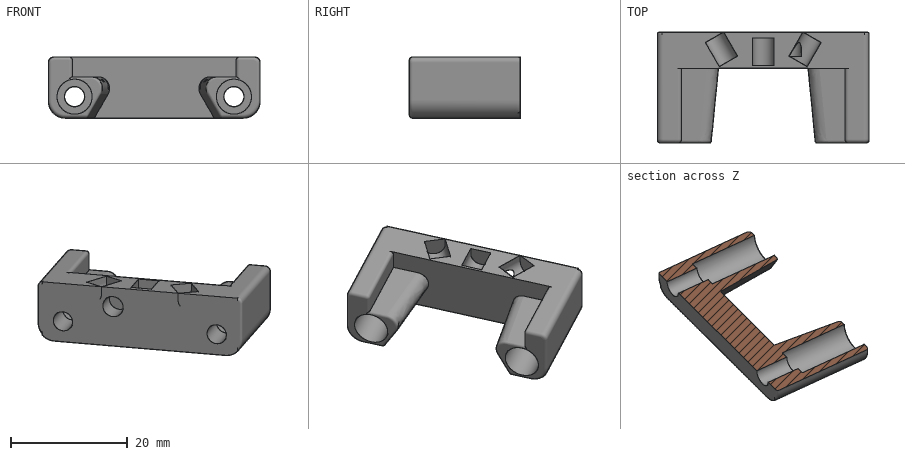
import cadquery as cq
import math

WIDTH = 36.26
LENGTH = 19.0
HEIGHT = 10.5
HALF_WIDTH = WIDTH / 2

BAR_THICKNESS = 6.2
LEG_LENGTH = LENGTH - BAR_THICKNESS
WALL_THICKNESS = 4.13
TOP_CORNER_RADIUS = 1.0
BOTTOM_CORNER_RADIUS = 3.0
EDGE_RADIUS = 0.6
BACK_EDGE_RADIUS = 0.4
BACK_EDGE_STRIP = 0.83

LUG_HEIGHT = 7.1
LUG_TOE = 7.85
LUG_FLANK_ANGLE = 60.0
LUG_TIP_RADIUS = 2.0
LUG_TAPER = 1.25
LUG_EDGE_RADIUS = 0.4

BORE_INSET = 4.5
BORE_HEIGHT = 3.7
BORE_DIAMETER = 3.4
COUNTERBORE_DIAMETER = 6.0
COUNTERBORE_DEPTH = LEG_LENGTH

SLOT_WIDTH = 3.6
SLOT_LENGTH = 4.75
SLOT_AXIS_DEPTH = 1.2
MIDDLE_SLOT_SETBACK = 3.38
MIDDLE_SLOT_Y = LENGTH - MIDDLE_SLOT_SETBACK
SIDE_SLOT_X = 7.15
SIDE_SLOT_SETBACK = 2.95
SIDE_SLOT_Y = LENGTH - SIDE_SLOT_SETBACK
SIDE_SLOT_ANGLE = 30.0

BACK_HOLE_X = 4.75
BACK_HOLE_DIAMETER = SLOT_WIDTH
BACK_HOLE_DEPTH = 4.2
BACK_HOLE_BELOW_SLOT_AXIS = 2.2
BACK_HOLE_Z = HEIGHT - SLOT_AXIS_DEPTH - BACK_HOLE_BELOW_SLOT_AXIS


def box(x_min, x_max, y_min, y_max, z_min, z_max):
    size = (x_max - x_min, y_max - y_min, z_max - z_min)
    return cq.Workplane("XY").box(*size, centered=False).translate((x_min, y_min, z_min))


def box_selector(x_min, x_max, y, z, reach=0.1):
    """Select objects with their centre in the X range and within reach of y and z."""
    return cq.selectors.BoxSelector((x_min, y - reach, z - reach), (x_max, y + reach, z + reach))


def rod(x, z, diameter, y_start, y_end):
    """Cylinder along Y."""
    start = cq.Vector(x, y_start, z)
    along_y = cq.Vector(0, 1, 0)
    return cq.Workplane(cq.Solid.makeCylinder(diameter / 2, y_end - y_start, start, along_y))


def outer_block():
    """Full block with rounded long edges; the back edge is eased only near the two sides."""
    block = box(-HALF_WIDTH, HALF_WIDTH, 0, LENGTH, 0, HEIGHT)
    block = block.edges("|Y and >Z").fillet(TOP_CORNER_RADIUS)
    block = block.edges("|Y and <Z").fillet(BOTTOM_CORNER_RADIUS)
    sharp_half = HALF_WIDTH - BACK_EDGE_STRIP
    sharp_middle = block.intersect(box(-sharp_half, sharp_half, 0, LENGTH, 0, HEIGHT))
    return block.faces(">Y").edges().fillet(BACK_EDGE_RADIUS).union(sharp_middle)


def lug():
    """Left lug; its sloping flank reaches further inwards as it nears the bar."""
    root_x = -HALF_WIDTH + BOTTOM_CORNER_RADIUS

    def section(y, toe_inset):
        toe_x = -HALF_WIDTH + toe_inset
        apex_x = toe_x + LUG_HEIGHT / math.tan(math.radians(LUG_FLANK_ANGLE))
        corners = [(root_x, 0), (toe_x, 0), (apex_x, LUG_HEIGHT), (root_x, LUG_HEIGHT)]
        return cq.Wire.makePolygon([cq.Vector(x, y, z) for x, z in corners], close=True)

    sections = [section(0, LUG_TOE - LUG_TAPER), section(LEG_LENGTH, LUG_TOE)]
    prism = cq.Workplane(cq.Solid.makeLoft(sections, True))
    tip_edge = box_selector(LUG_TOE - HALF_WIDTH, 0, LEG_LENGTH / 2, LUG_HEIGHT)
    return prism.edges(tip_edge).fillet(LUG_TIP_RADIUS)


def bracket():
    """Outer block with its opening and both lugs, exposed leg and lug edges rounded."""
    opening_half = HALF_WIDTH - WALL_THICKNESS
    body = outer_block().cut(box(-opening_half, opening_half, 0, LEG_LENGTH, 0, HEIGHT))
    left_lug = lug()
    body = body.union(left_lug).union(left_lug.mirror("YZ"))

    left_rim = box_selector(-opening_half - EDGE_RADIUS, 0, LEG_LENGTH / 2, HEIGHT)
    right_rim = box_selector(0, opening_half + EDGE_RADIUS, LEG_LENGTH / 2, HEIGHT)
    body = body.edges(left_rim + right_rim).fillet(EDGE_RADIUS)

    lug_middle = LUG_HEIGHT / 2
    lug_front = box_selector(-opening_half, opening_half, 0, lug_middle + EDGE_RADIUS, lug_middle)
    all_front = box_selector(-HALF_WIDTH, HALF_WIDTH, 0, HEIGHT / 2, HEIGHT)
    body = body.faces("<Y").edges(all_front - lug_front).fillet(EDGE_RADIUS)
    return body.faces("<Y").edges(lug_front).fillet(LUG_EDGE_RADIUS)


def bore(side):
    """Counterbored screw hole through one leg and the bar; side is -1 or 1."""
    x = side * (HALF_WIDTH - BORE_INSET)
    through = rod(x, BORE_HEIGHT, BORE_DIAMETER, 0, LENGTH)
    return through.union(rod(x, BORE_HEIGHT, COUNTERBORE_DIAMETER, 0, COUNTERBORE_DEPTH))


def slot(x, y, angle):
    """Round-bottomed slot with its axis along Y, then turned about Z."""
    half_width = SLOT_WIDTH / 2
    half_length = SLOT_LENGTH / 2
    axis_z = HEIGHT - SLOT_AXIS_DEPTH
    cutter = rod(0, axis_z, SLOT_WIDTH, -half_length, half_length)
    cutter = cutter.union(box(-half_width, half_width, -half_length, half_length, axis_z, HEIGHT))
    return cutter.rotate((0, 0, 0), (0, 0, 1), angle).translate((x, y, 0))


result = bracket()
for side in (-1, 1):
    result = result.cut(bore(side))
    result = result.cut(slot(side * SIDE_SLOT_X, SIDE_SLOT_Y, -side * SIDE_SLOT_ANGLE))
result = result.cut(slot(0, MIDDLE_SLOT_Y, 0))
back_hole = rod(BACK_HOLE_X, BACK_HOLE_Z, BACK_HOLE_DIAMETER, LENGTH - BACK_HOLE_DEPTH, LENGTH)
result = result.cut(back_hole)